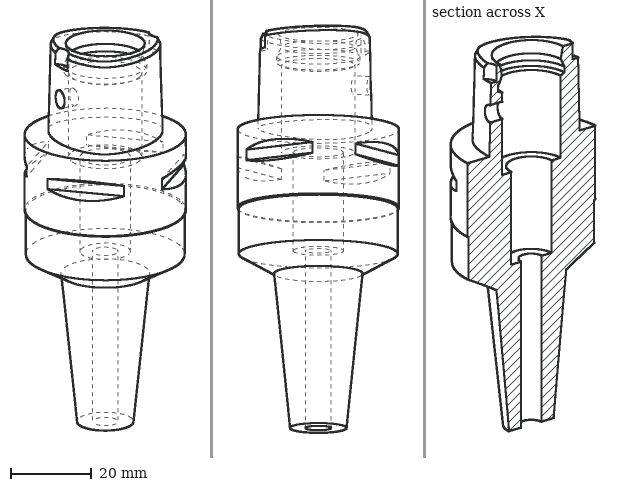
import cadquery as cq
import math

total_height = 99.0
shoulder_z = 75.1
collar_bottom_z = 55.1
body_bottom_z = 43.8
nose_top_z = 38.8

collar_radius = 20.0
body_radius = 19.7
nose_top_radius = 11.0
nose_tip_radius = 7.0
collar_chamfer = collar_radius - body_radius

shank_radius = 14.2
lobe_height = 1.0
shank_taper = 1 / 40
chamfer_height = 1.3
chamfer_inset = 0.7
outline_points = 48

mouth_radius = 9.8
lip_radius = 9.1
lip_depth = 3.3
groove_radius = 10.3
groove_wall_top = 5.6
groove_wall_bottom = 7.1
bore_radius = 9.06
bore_start_depth = 7.7
bore_depth = 29.7
middle_bore_radius = 6.2
middle_bore_depth = 54.45
through_radius = 3.2

notch_depth = 4.3
notch_radius = 4.0
front_notch_floor = 10.9
lobe_notch_floor = 13.0
radial_hole_radius = 2.3
radial_hole_z = 86.5

slot_count = 4
slot_z = 67.0
slot_floor_distance = 17.4
slot_floor_height = 2.7
slot_flank_slope = 0.48


def lobed_wire(mean_radius, z):
    """Three-lobed constant-width outline with one lobe toward +Y."""
    points = []
    for i in range(outline_points):
        normal = math.pi / 2 + 2 * math.pi * i / outline_points
        lobe_phase = 3 * (normal - math.pi / 2)
        support = mean_radius + lobe_height * math.cos(lobe_phase)
        slope = -3 * lobe_height * math.sin(lobe_phase)
        x = support * math.cos(normal) - slope * math.sin(normal)
        y = support * math.sin(normal) + slope * math.cos(normal)
        points.append(cq.Vector(x, y, z))
    return cq.Wire.assembleEdges([cq.Edge.makeSpline(points, periodic=True)])


def lobed_frustum(bottom_radius, bottom_z, top_radius, top_z):
    wires = [lobed_wire(bottom_radius, bottom_z), lobed_wire(top_radius, top_z)]
    return cq.Workplane(obj=cq.Solid.makeLoft(wires, True))


def revolved(profile):
    """Revolve (radius, z) points about the Z axis."""
    return cq.Workplane("XZ").polyline(profile).close().revolve(360, (0, 0, 0), (0, 1, 0))


def make_body():
    return revolved([
        (0, 0),
        (nose_tip_radius, 0),
        (nose_top_radius, nose_top_z),
        (body_radius, body_bottom_z),
        (body_radius, collar_bottom_z),
        (collar_radius, collar_bottom_z + collar_chamfer),
        (collar_radius, shoulder_z),
        (0, shoulder_z),
    ])


def make_shank():
    chamfer_z = total_height - chamfer_height
    chamfer_radius = shank_radius - shank_taper * (chamfer_z - shoulder_z)
    taper = lobed_frustum(shank_radius, shoulder_z, chamfer_radius, chamfer_z)
    tip = lobed_frustum(chamfer_radius, chamfer_z, chamfer_radius - chamfer_inset, total_height)
    return taper.union(tip)


def make_bore():
    steps = [
        (0, 0),
        (mouth_radius, 0),
        (lip_radius, lip_depth),
        (groove_radius, groove_wall_top),
        (groove_radius, groove_wall_bottom),
        (bore_radius, bore_start_depth),
        (bore_radius, bore_depth),
        (middle_bore_radius, bore_depth),
        (middle_bore_radius, middle_bore_depth),
        (through_radius, middle_bore_depth),
        (through_radius, total_height),
        (0, total_height),
    ]
    return revolved([(radius, total_height - depth) for radius, depth in steps])


def make_notch(floor_distance, side):
    """Upright round notch; side is +1 for the +Y wall and -1 for the -Y wall."""
    center_y = side * (floor_distance + notch_radius)
    notch = cq.Workplane("XY", origin=(0, center_y, total_height - notch_depth))
    return notch.circle(notch_radius).extrude(notch_depth)


def make_radial_hole():
    hole = cq.Workplane("XZ", origin=(0, 0, radial_hole_z))
    return hole.circle(radial_hole_radius).extrude(collar_radius)


def make_slot(angle):
    """Straight slot across the collar with flanks that open outward."""
    inner_half = slot_floor_height / 2
    outer_half = inner_half + slot_flank_slope * (collar_radius - slot_floor_distance)
    profile = [
        (slot_floor_distance, slot_z - inner_half),
        (collar_radius, slot_z - outer_half),
        (collar_radius, slot_z + outer_half),
        (slot_floor_distance, slot_z + inner_half),
    ]
    slot = cq.Workplane("XZ").polyline(profile).close().extrude(collar_radius, both=True)
    return slot.rotate((0, 0, 0), (0, 0, 1), angle)


result = make_body().union(make_shank())
result = result.cut(make_bore())
result = result.cut(make_notch(front_notch_floor, -1))
result = result.cut(make_notch(lobe_notch_floor, 1))
result = result.cut(make_radial_hole())
for index in range(slot_count):
    result = result.cut(make_slot((index + 0.5) * 360 / slot_count))